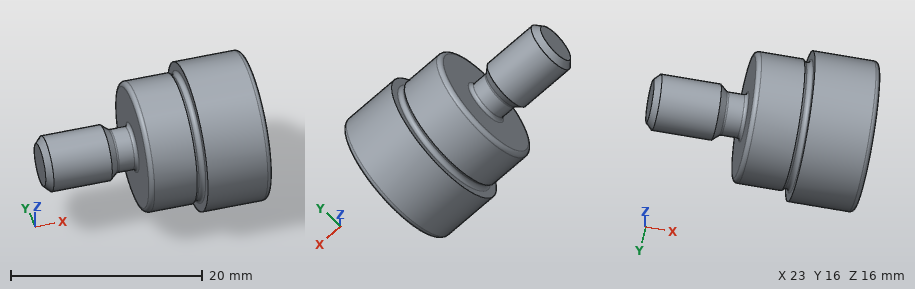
import cadquery as cq
import math

total_length = 23.0
head_start = 10.0
cap_start = 16.0
taper_start = 7.02

stud_radius = 3.0
neck_radius = 2.3
head_radius = 7.0
cap_radius = 8.0
groove_radius = 6.7

tip_chamfer = 0.7
taper_angle = math.radians(40)
taper_fillet = 0.3
neck_fillet = 0.4
edge_fillet = 0.5
groove_fillet = 0.4
groove_angle = math.radians(40)


def fillet_point(center, radius, angle):
    """Point on a circle, with the angle measured from the +X axis."""
    return (center[0] + radius * math.cos(angle), center[1] + radius * math.sin(angle))


down = -math.pi / 2

taper_bend_height = taper_fillet * (1 - math.cos(taper_angle))
taper_cone_length = (stud_radius - neck_radius - taper_bend_height) / math.tan(taper_angle)
neck_start = taper_start + taper_cone_length + taper_fillet * math.sin(taper_angle)
taper_center = (neck_start, neck_radius + taper_fillet)

neck_center = (head_start - neck_fillet, neck_radius + neck_fillet)

groove_center = (cap_start - groove_fillet, groove_radius + groove_fillet)
groove_cone_end = fillet_point(groove_center, groove_fillet, down - groove_angle)
groove_cone_length = (head_radius - groove_cone_end[1]) / math.tan(groove_angle)
groove_start = groove_cone_end[0] - groove_cone_length

head_edge_center = (head_start + edge_fillet, head_radius - edge_fillet)
cap_edge_center = (total_length - edge_fillet, cap_radius - edge_fillet)

profile = (
    cq.Workplane("XY")
    .moveTo(0, 0)
    .lineTo(0, stud_radius - tip_chamfer)
    .lineTo(tip_chamfer, stud_radius)
    .lineTo(taper_start, stud_radius)
    .lineTo(*fillet_point(taper_center, taper_fillet, down - taper_angle))
    .threePointArc(
        fillet_point(taper_center, taper_fillet, down - taper_angle / 2),
        (neck_start, neck_radius),
    )
    .lineTo(neck_center[0], neck_radius)
    .threePointArc(
        fillet_point(neck_center, neck_fillet, down / 2),
        (head_start, neck_center[1]),
    )
    .lineTo(head_start, head_edge_center[1])
    .threePointArc(
        fillet_point(head_edge_center, edge_fillet, math.radians(135)),
        (head_edge_center[0], head_radius),
    )
    .lineTo(groove_start, head_radius)
    .lineTo(*groove_cone_end)
    .threePointArc(
        fillet_point(groove_center, groove_fillet, down),
        (cap_start, groove_center[1]),
    )
    .lineTo(cap_start, cap_radius)
    .lineTo(cap_edge_center[0], cap_radius)
    .threePointArc(
        fillet_point(cap_edge_center, edge_fillet, math.radians(45)),
        (total_length, cap_edge_center[1]),
    )
    .lineTo(total_length, 0)
    .close()
)

result = profile.revolve(360, (0, 0, 0), (1, 0, 0))